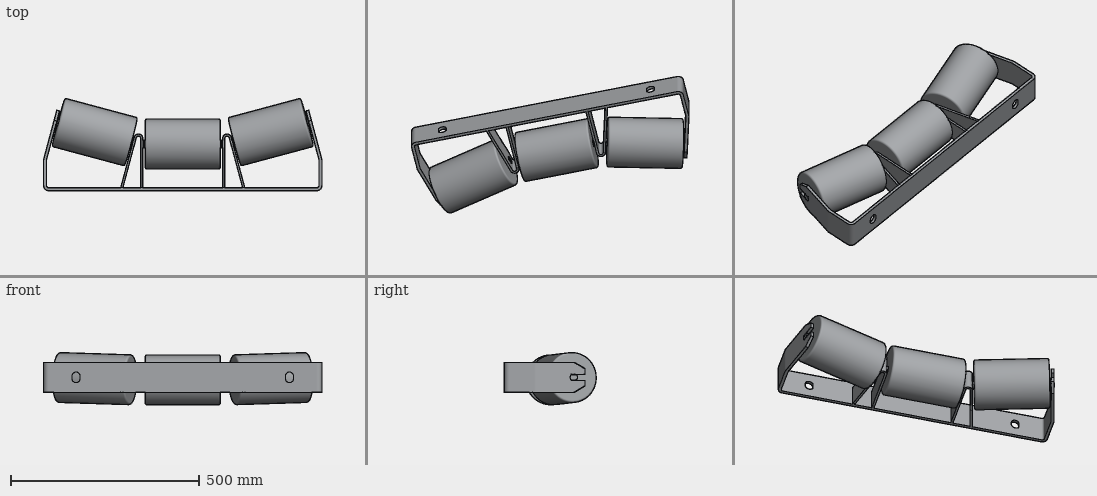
import cadquery as cq
import math

frame_length = 740.0
strip_thickness = 8.0
strip_height = 80.0
bend_inner_radius = 6.0
bend_outer_radius = bend_inner_radius + strip_thickness
tilt = math.radians(15)

arm_bend_y = 83.0
arm_length = 136.0
arm_axle_distance = 106.0
tip_chamfer_length = 28.0
tip_chamfer_height = 16.0
arm_slot_width = 16.0

mount_slot_x = 283.5
mount_slot_width = 21.5
mount_slot_height = 28.0

bracket_thickness = 6.0
bracket_height = 60.0
bracket_inner_x = 106.0
bracket_outer_radius = 12.0
bracket_inner_radius = bracket_outer_radius - bracket_thickness
bracket_top_y = 151.0
bracket_center_x = bracket_inner_x + bracket_outer_radius
bracket_center_y = bracket_top_y - bracket_outer_radius

roller_length = 200.0
roller_radius = 66.5
roller_fillet = 5.0
axle_radius = 10.0
axle_shoulder = 4.0
axle_flat_width = 14.0
center_roller_y = 124.0
center_axle_drop = 7.0

arm_direction = cq.Vector(math.sin(tilt), math.cos(tilt))
inward = cq.Vector(math.cos(tilt), -math.sin(tilt))
arm_bend = cq.Vector(-frame_length / 2, arm_bend_y)

arm_axle_point = arm_bend + arm_direction * arm_axle_distance
leg_point = cq.Vector(-bracket_center_x, bracket_center_y) - inward * bracket_outer_radius
plate_span = (leg_point - arm_axle_point).dot(inward) - strip_thickness
leg_axle_point = arm_axle_point + inward * (strip_thickness + plate_span) - cq.Vector(0, 0, center_axle_drop)
left_axis = (leg_axle_point - arm_axle_point).normalized()
axle_span = (leg_axle_point - arm_axle_point).Length
left_roller_offset = strip_thickness + plate_span / 2
left_plane = cq.Plane(arm_axle_point + left_axis * left_roller_offset, arm_direction, left_axis)
center_plane = cq.Plane((0, center_roller_y, -center_axle_drop), (0, 1, 0), (1, 0, 0))


def mirrored(body):
    return body.mirror("YZ")


def double_d(plane, start, end):
    """Axle with two flats facing up and down, between two distances along its axis."""
    rod = cq.Workplane(plane).workplane(offset=start).circle(axle_radius).extrude(end - start)
    flats = (
        cq.Workplane(plane).workplane(offset=start)
        .rect(2 * axle_radius, axle_flat_width).extrude(end - start)
    )
    return rod.intersect(flats)


def make_axle(plane, start, end):
    """Round axle with flatted ends that reach through the supporting plates."""
    shoulder = roller_length / 2 + axle_shoulder
    round_part = cq.Workplane(plane).workplane(offset=-shoulder).circle(axle_radius).extrude(2 * shoulder)
    return round_part.union(double_d(plane, start, end))


def make_roller(plane, start, end):
    drum = (
        cq.Workplane(plane).workplane(offset=-roller_length / 2)
        .circle(roller_radius).extrude(roller_length)
        .edges().fillet(roller_fillet)
    )
    return drum.union(make_axle(plane, start, end))


def round_corner(body, x, y, radius):
    """Round the upright edges at (x, y) and at its mirror image."""
    for side in (-1, 1):
        body = body.edges(cq.NearestToPointSelector((side * x, y, 0))).fillet(radius)
    return body


def make_strip():
    half = frame_length / 2
    tip = arm_bend + arm_direction * arm_length
    inner_tip = tip + inward * strip_thickness
    inner_bend_y = arm_bend_y - strip_thickness * math.tan(tilt / 2)
    inner_half = half - strip_thickness
    left = [
        (-half, 0),
        (-half, arm_bend_y),
        (tip.x, tip.y),
        (inner_tip.x, inner_tip.y),
        (-inner_half, inner_bend_y),
        (-inner_half, strip_thickness),
    ]
    right = [(-x, y) for x, y in reversed(left)]
    strip = (
        cq.Workplane("XY").workplane(offset=-strip_height / 2)
        .polyline(left + right).close().extrude(strip_height)
    )
    strip = round_corner(strip, half, 0, bend_outer_radius)
    strip = round_corner(strip, inner_half, strip_thickness, bend_inner_radius)
    strip = round_corner(strip, half, arm_bend_y, bend_outer_radius)
    strip = round_corner(strip, inner_half, inner_bend_y, bend_inner_radius)

    mount_slots = (
        cq.Workplane("XZ").pushPoints([(-mount_slot_x, 0), (mount_slot_x, 0)])
        .slot2D(mount_slot_height, mount_slot_width, 90).extrude(-strip_thickness)
    )
    strip = strip.cut(mount_slots)
    arm_cut = make_arm_cut()
    return strip.cut(arm_cut).cut(mirrored(arm_cut))


def make_arm_cut():
    """Tip chamfers and open axle slot of the left arm, cut square to the arm."""
    arm_plane = cq.Plane(arm_axle_point, arm_direction, inward)
    tip_x = arm_length - arm_axle_distance
    half_height = strip_height / 2
    seat = (
        cq.Workplane(arm_plane).circle(axle_radius).extrude(strip_thickness)
        .intersect(cq.Workplane(arm_plane).rect(2 * axle_radius, arm_slot_width).extrude(strip_thickness))
    )
    slot = (
        cq.Workplane(arm_plane).center(tip_x / 2, 0)
        .rect(tip_x, arm_slot_width).extrude(strip_thickness)
    )
    cut = seat.union(slot)
    for side in (-1, 1):
        chamfer = (
            cq.Workplane(arm_plane)
            .moveTo(tip_x, side * half_height)
            .lineTo(tip_x - tip_chamfer_length, side * half_height)
            .lineTo(tip_x, side * (half_height - tip_chamfer_height))
            .close().extrude(strip_thickness)
        )
        cut = cut.union(chamfer)
    return cut


def make_bracket():
    """Left bracket: an upright leg, a round top and an outer leg leaning outward."""
    center = cq.Vector(-bracket_center_x, bracket_center_y)
    foot_y = strip_thickness

    def arc_point(radius, angle):
        point = center + cq.Vector(radius * math.cos(angle), radius * math.sin(angle))
        return (point.x, point.y)

    def leaning_foot(radius):
        x, y = arc_point(radius, math.pi - tilt)
        return (x - (y - foot_y) * math.tan(tilt), foot_y)

    return (
        cq.Workplane("XY").workplane(offset=-strip_height / 2)
        .moveTo(-bracket_inner_x, foot_y)
        .lineTo(*arc_point(bracket_outer_radius, 0))
        .threePointArc(
            arc_point(bracket_outer_radius, math.pi / 2), arc_point(bracket_outer_radius, math.pi - tilt)
        )
        .lineTo(*leaning_foot(bracket_outer_radius))
        .lineTo(*leaning_foot(bracket_inner_radius))
        .lineTo(*arc_point(bracket_inner_radius, math.pi - tilt))
        .threePointArc(arc_point(bracket_inner_radius, math.pi / 2), arc_point(bracket_inner_radius, 0))
        .lineTo(-bracket_inner_x - bracket_thickness, foot_y)
        .close().extrude(bracket_height)
    )


left_axle_start = -left_roller_offset
left_axle_end = axle_span - left_roller_offset + bracket_thickness
left_roller = make_roller(left_plane, left_axle_start, left_axle_end)
right_roller = mirrored(left_roller)

center_axle_reach = bracket_inner_x + bracket_thickness
frame = make_strip()
bracket = make_bracket()
left_axle = make_axle(left_plane, left_axle_start, left_axle_end)
frame = frame.union(bracket).union(mirrored(bracket))
frame = frame.cut(left_axle).cut(mirrored(left_axle))
frame = frame.union(make_roller(center_plane, -center_axle_reach, center_axle_reach))

result = cq.Compound.makeCompound([frame.val(), left_roller.val(), right_roller.val()])